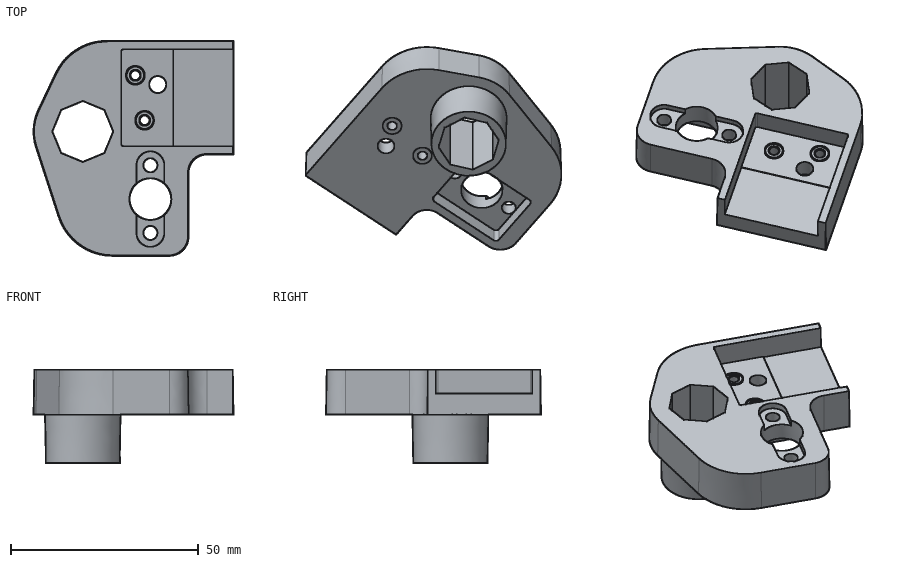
import cadquery as cq
import math


LENGTH = 57.4
PLATE_HEIGHT = 12.0
BOSS_HEIGHT = 13.0
DRAFT_ANGLE = 1.0
DRAFT_OFFSET = PLATE_HEIGHT * math.tan(math.radians(DRAFT_ANGLE))
PLATE_BOTTOM = -PLATE_HEIGHT
TOTAL_HEIGHT = PLATE_HEIGHT + BOSS_HEIGHT

BACK_Y = 24.0
FRONT_Y = BACK_Y - (LENGTH - 2 * DRAFT_OFFSET)
ARM_END_X = 40.0
ARM_FRONT_Y = -6.0
LOWER_SIDE_X = 28.0
CORNER_RADIUS = 5.0
SOCKET_END_RADIUS = 13.0
SHOULDER_RADIUS = 15.0
BACK_SHOULDER = (6.5, BACK_Y - SHOULDER_RADIUS)
FRONT_SHOULDER = (8.0, FRONT_Y + SHOULDER_RADIUS)

SOCKET_RADIUS = 8.1
BOSS_TIP_RADIUS = 9.95
BOSS_ROOT_RADIUS = BOSS_TIP_RADIUS + BOSS_HEIGHT * math.tan(math.radians(DRAFT_ANGLE))

TRAY_LEFT_X = 10.3
TRAY_FRONT_Y = -3.9
TRAY_BACK_Y = 21.9
TRAY_DEPTH = 6.5
TRAY_CORNER_RADIUS = 0.5
PAD_END_X = 24.1
PAD_HEIGHT = 0.2
PAD_TOP = PAD_HEIGHT - TRAY_DEPTH
CABLE_HOLE = (20.0, 12.5)
CABLE_HOLE_RADIUS = 2.25

INSERT_POSITIONS = [(14.0, 15.0), (16.5, 3.0)]
INSERT_RADIUS = 2.5
INSERT_NECK_RADIUS = 2.3
INSERT_NECK_HEIGHT = 0.2
INSERT_BORE_RADIUS = 1.25
INSERT_CHAMFER = 0.25

MOTOR_X = 18.05
MOTOR_Y = -18.05
SCREW_SPACING = 18.05
SCREW_HOLE_RADIUS = 1.85
SLOT_WIDTH = 7.45
SLOT_DEPTH = 1.8
SHAFT_HOLE_RADIUS = 5.6
MOTOR_POCKET_TOP = -6.5
MOTOR_POCKET_WIDTH = 15.75
MOTOR_POCKET_LENGTH = 21.8
MOTOR_POCKET_CORNER_RADIUS = 1.05


def point_on_circle(center, radius, angle):
    return (center[0] + radius * math.cos(angle), center[1] + radius * math.sin(angle))


def tangent_angle(shoulder_center, side):
    """Direction from both centres to the line that touches the socket end and a shoulder.

    side is 1 for the back shoulder and -1 for the front one.
    """
    distance = math.hypot(*shoulder_center)
    bearing = math.atan2(shoulder_center[1], shoulder_center[0])
    return bearing + side * math.acos((SOCKET_END_RADIUS - SHOULDER_RADIUS) / distance)


def plate_outline():
    socket_center = (0, 0)
    back_angle = tangent_angle(BACK_SHOULDER, 1)
    front_angle = tangent_angle(FRONT_SHOULDER, -1)
    back_middle = (math.pi / 2 + back_angle) / 2
    front_middle = (-math.pi / 2 + front_angle) / 2
    diagonal = CORNER_RADIUS * math.sqrt(0.5)
    inside_center = (LOWER_SIDE_X + CORNER_RADIUS, ARM_FRONT_Y - CORNER_RADIUS)
    corner_center = (LOWER_SIDE_X - CORNER_RADIUS, FRONT_Y + CORNER_RADIUS)
    return (
        cq.Workplane("XY")
        .moveTo(ARM_END_X, BACK_Y)
        .lineTo(BACK_SHOULDER[0], BACK_Y)
        .threePointArc(
            point_on_circle(BACK_SHOULDER, SHOULDER_RADIUS, back_middle),
            point_on_circle(BACK_SHOULDER, SHOULDER_RADIUS, back_angle),
        )
        .lineTo(*point_on_circle(socket_center, SOCKET_END_RADIUS, back_angle))
        .threePointArc(
            (-SOCKET_END_RADIUS, 0),
            point_on_circle(socket_center, SOCKET_END_RADIUS, front_angle),
        )
        .lineTo(*point_on_circle(FRONT_SHOULDER, SHOULDER_RADIUS, front_angle))
        .threePointArc(
            point_on_circle(FRONT_SHOULDER, SHOULDER_RADIUS, front_middle),
            (FRONT_SHOULDER[0], FRONT_Y),
        )
        .lineTo(corner_center[0], FRONT_Y)
        .threePointArc(
            (corner_center[0] + diagonal, corner_center[1] - diagonal),
            (LOWER_SIDE_X, corner_center[1]),
        )
        .lineTo(LOWER_SIDE_X, inside_center[1])
        .threePointArc(
            (inside_center[0] - diagonal, inside_center[1] + diagonal),
            (inside_center[0], ARM_FRONT_Y),
        )
        .lineTo(ARM_END_X, ARM_FRONT_Y)
        .close()
    )


def make_plate_block():
    """The plate, widening downwards."""
    return plate_outline().extrude(-PLATE_HEIGHT, taper=-DRAFT_ANGLE)


def make_boss():
    """The round boss under the socket, narrowing downwards."""
    return (
        cq.Workplane("XY", origin=(0, 0, PLATE_BOTTOM))
        .circle(BOSS_ROOT_RADIUS)
        .workplane(offset=-BOSS_HEIGHT)
        .circle(BOSS_TIP_RADIUS)
        .loft()
        .rotate((0, 0, 0), (0, 0, 1), -90)
    )


def make_socket():
    """The octagonal hole through plate and boss, with corners on the axes."""
    return cq.Workplane("XY").polygon(8, 2 * SOCKET_RADIUS).extrude(-TOTAL_HEIGHT)


def make_tray():
    """The tray cut from the arm, open at the arm's end, with a raised pad in its floor."""
    open_end_x = ARM_END_X + 2 * DRAFT_OFFSET
    tray = (
        cq.Workplane("XY", origin=(TRAY_LEFT_X, TRAY_FRONT_Y, -TRAY_DEPTH))
        .box(open_end_x - TRAY_LEFT_X, TRAY_BACK_Y - TRAY_FRONT_Y, TRAY_DEPTH, centered=False)
        .edges("|Z and <X")
        .fillet(TRAY_CORNER_RADIUS)
    )
    pad = cq.Workplane("XY", origin=(TRAY_LEFT_X, TRAY_FRONT_Y, -TRAY_DEPTH)).box(
        PAD_END_X - TRAY_LEFT_X, TRAY_BACK_Y - TRAY_FRONT_Y, PAD_HEIGHT, centered=False
    )
    return tray.cut(pad)


def make_round_holes(positions, radius):
    """Straight holes through the whole plate."""
    return cq.Workplane("XY").pushPoints(positions).circle(radius).extrude(-PLATE_HEIGHT)


def make_motor_mount():
    screws = [(MOTOR_X, MOTOR_Y + side * SCREW_SPACING / 2) for side in (-1, 1)]
    slot = (
        cq.Workplane("XY")
        .center(MOTOR_X, MOTOR_Y)
        .slot2D(SCREW_SPACING + SLOT_WIDTH, SLOT_WIDTH, 90)
        .extrude(-SLOT_DEPTH, taper=DRAFT_ANGLE)
    )
    shaft_hole = (
        cq.Workplane("XY")
        .center(MOTOR_X, MOTOR_Y)
        .circle(SHAFT_HOLE_RADIUS)
        .extrude(MOTOR_POCKET_TOP, taper=DRAFT_ANGLE)
    )
    pocket = (
        cq.Workplane("XY", origin=(MOTOR_X, MOTOR_Y, MOTOR_POCKET_TOP))
        .rect(MOTOR_POCKET_WIDTH, MOTOR_POCKET_LENGTH)
        .extrude(PLATE_BOTTOM - MOTOR_POCKET_TOP)
        .edges("|Z")
        .fillet(MOTOR_POCKET_CORNER_RADIUS)
    )
    return slot.union(shaft_hole).union(pocket).union(make_round_holes(screws, SCREW_HOLE_RADIUS))


def make_housing():
    return (
        make_plate_block()
        .union(make_boss())
        .cut(make_socket())
        .cut(make_tray())
        .cut(make_round_holes([CABLE_HOLE], CABLE_HOLE_RADIUS))
        .cut(make_round_holes(INSERT_POSITIONS, INSERT_RADIUS))
        .cut(make_motor_mount())
    )


def make_insert(position):
    """A sleeve with a slimmer neck at the top and a chamfered bore."""
    neck_bottom = PAD_TOP - INSERT_NECK_HEIGHT
    sleeve = (
        cq.Workplane("XY", origin=(*position, PLATE_BOTTOM))
        .circle(INSERT_RADIUS)
        .extrude(neck_bottom - PLATE_BOTTOM)
        .faces(">Z")
        .workplane()
        .circle(INSERT_NECK_RADIUS)
        .extrude(INSERT_NECK_HEIGHT)
    )
    bore = (
        cq.Workplane("XY", origin=(*position, PLATE_BOTTOM))
        .circle(INSERT_BORE_RADIUS)
        .extrude(PAD_TOP - PLATE_BOTTOM)
    )
    return sleeve.cut(bore).faces(">Z").edges("%CIRCLE").edges(
        cq.selectors.RadiusNthSelector(0)
    ).chamfer(INSERT_CHAMFER)


housing = make_housing()
inserts = [make_insert(position) for position in INSERT_POSITIONS]

result = cq.Compound.makeCompound([housing.val(), *[insert.val() for insert in inserts]])